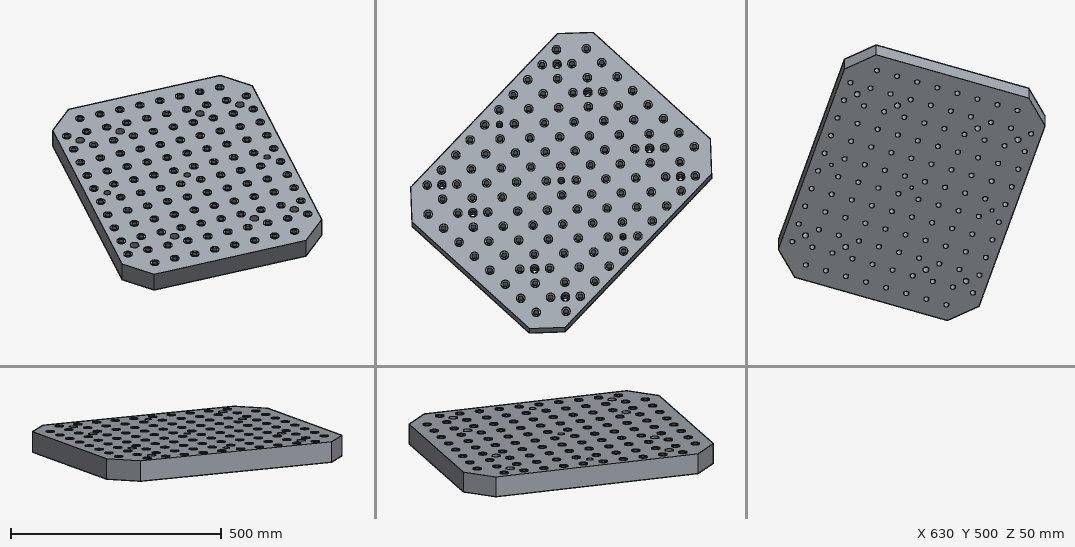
import cadquery as cq

length = 630.0
width = 500.0
thickness = 50.0
corner_cut = 60.0

columns = 12
rows = 10
pitch = width / rows
grid_bore = 12.0
grid_recess = 20.0
grid_recess_depth = 1.0

mount_x = 4 * pitch
mount_outer_y = 4 * pitch
mount_inner_y = 2 * pitch
mount_bore = 14.0
mount_counterbore = 20.0

center_spacing = 4 * pitch
center_bore = 9.0
center_counterbore = 15.0

counterbore_depth = thickness / 2


def make_plate():
    """Flat plate resting on Z = 0 with its four vertical corners cut off."""
    plate = cq.Workplane("XY").box(length, width, thickness, centered=(True, True, False))
    return plate.edges("|Z").chamfer(corner_cut)


def grid_points():
    """Grid hole centres, without the four corner positions."""
    points = []
    for column in range(columns):
        for row in range(rows):
            if column in (0, columns - 1) and row in (0, rows - 1):
                continue
            x = (column - (columns - 1) / 2) * pitch
            y = (row - (rows - 1) / 2) * pitch
            points.append((x, y))
    return points


def mount_points():
    """Mounting hole centres, symmetric about both middle planes."""
    side_y = (-mount_outer_y, -mount_inner_y, mount_inner_y, mount_outer_y)
    return [(x, y) for x in (-mount_x, mount_x) for y in side_y]


def center_points():
    """Three hole centres on the Y axis."""
    return [(0, step * center_spacing) for step in (-1, 0, 1)]


def cut_stepped_holes(plate, points, bore, recess, recess_depth):
    """Cut through bores, each widened by a flat-bottomed recess in the top face."""
    bores = cq.Workplane("XY").pushPoints(points).circle(bore / 2).extrude(thickness)
    top = cq.Workplane("XY").workplane(offset=thickness)
    recesses = top.pushPoints(points).circle(recess / 2).extrude(-recess_depth)
    return plate.cut(bores).cut(recesses)


result = make_plate()
result = cut_stepped_holes(result, grid_points(), grid_bore, grid_recess, grid_recess_depth)
result = cut_stepped_holes(result, mount_points(), mount_bore, mount_counterbore, counterbore_depth)
result = cut_stepped_holes(result, center_points(), center_bore, center_counterbore, counterbore_depth)